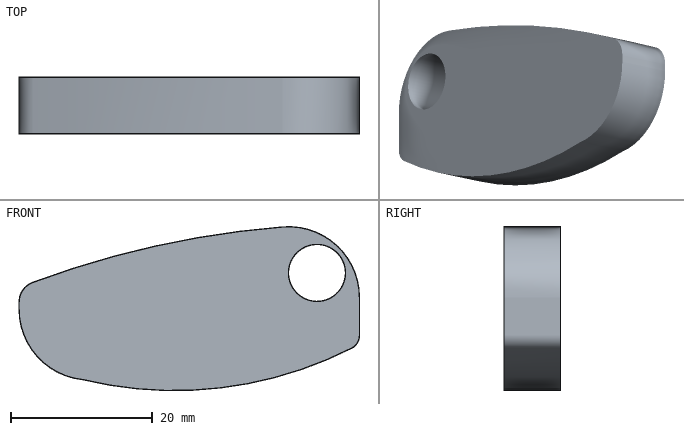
import cadquery as cq
import math

LENGTH = 48.0
THICKNESS = 8.0

BOTTOM_ARC_RADIUS = 55.0
LOWEST_POINT_X = 21.95

TOP_ARC_RADIUS = 130.0
TOP_LEFT_Z = 14.53
TOP_RIGHT_Z = 23.5

LOWER_LEFT_RADIUS = 10.0
UPPER_RIGHT_RADIUS = 10.0
UPPER_LEFT_RADIUS = 3.0
LOWER_RIGHT_RADIUS = 2.0

LOWER_LEFT_ARC_END_X = 9.0

HOLE_DIAMETER = 8.0
HOLE_X = 42.0
HOLE_Z = 16.6


def bottom_z(x):
    """Height of the bowed bottom edge at x."""
    return BOTTOM_ARC_RADIUS - math.sqrt(BOTTOM_ARC_RADIUS**2 - (x - LOWEST_POINT_X) ** 2)


arc_end_to_center_x = LOWER_LEFT_RADIUS - LOWER_LEFT_ARC_END_X
arc_end_to_center_z = math.sqrt(LOWER_LEFT_RADIUS**2 - arc_end_to_center_x**2)
lower_left_arc_end = (LOWER_LEFT_ARC_END_X, bottom_z(LOWER_LEFT_ARC_END_X))
lower_left_arc_start = (0, bottom_z(LOWER_LEFT_ARC_END_X) + arc_end_to_center_z)

upper_left = (0, TOP_LEFT_Z)
upper_right = (LENGTH, TOP_RIGHT_Z)
lower_right = (LENGTH, bottom_z(LENGTH))


def round_corner(body, corner, radius):
    """Round the thickness-direction edge that stands at the given outline corner."""
    x, z = corner
    nearest = cq.selectors.NearestToPointSelector((x, THICKNESS / 2, z))
    return body.edges("|Y").edges(nearest).fillet(radius)


def make_plate():
    """Plate with straight ends and outward-bowed long edges, from Y = 0 to Y = THICKNESS."""
    plate = (
        cq.Workplane("XZ")
        .moveTo(*lower_left_arc_start)
        .lineTo(*upper_left)
        .radiusArc(upper_right, TOP_ARC_RADIUS)
        .lineTo(*lower_right)
        .radiusArc(lower_left_arc_end, BOTTOM_ARC_RADIUS)
        .radiusArc(lower_left_arc_start, LOWER_LEFT_RADIUS)
        .close()
        .extrude(-THICKNESS)
    )
    plate = round_corner(plate, upper_left, UPPER_LEFT_RADIUS)
    plate = round_corner(plate, upper_right, UPPER_RIGHT_RADIUS)
    return round_corner(plate, lower_right, LOWER_RIGHT_RADIUS)


def make_hole():
    """Cylinder that cuts the through hole along Y."""
    return (
        cq.Workplane("XZ")
        .center(HOLE_X, HOLE_Z)
        .circle(HOLE_DIAMETER / 2)
        .extrude(-THICKNESS)
    )


result = make_plate().cut(make_hole())